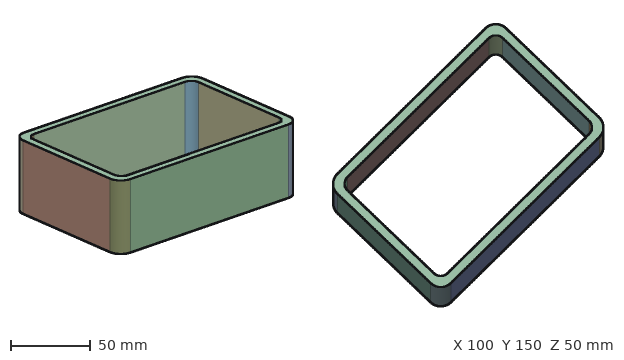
import cadquery as cq

length = 150.0
width = length * 2 / 3
height = length / 3
wall = 6.0
outer_radius = 9.0
inner_radius = 6.0


def rounded_block(size_x, size_y, corner_radius):
    """Upright block with its four vertical edges rounded."""
    block = cq.Workplane("XY").box(size_x, size_y, height)
    return block.edges("|Z").fillet(corner_radius)


outer_body = rounded_block(width, length, outer_radius)
opening = rounded_block(width - 2 * wall, length - 2 * wall, inner_radius)

result = outer_body.cut(opening)